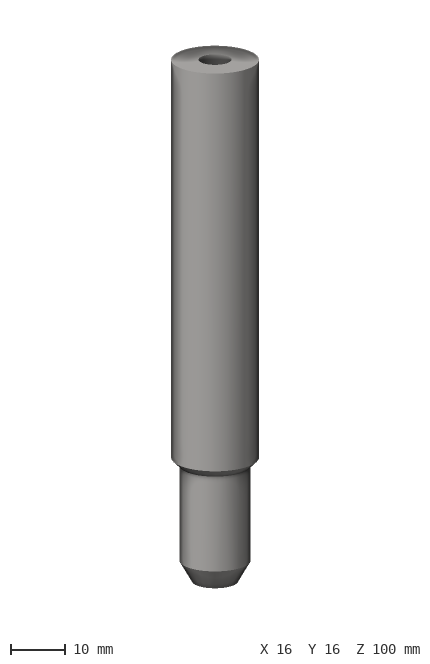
import cadquery as cq

total_length = 100.0
body_diameter = 16.0
pin_diameter = 13.0
tip_diameter = 8.4
bore_diameter = 6.0
pin_length = 22.2
nose_length = 4.0
shoulder_chamfer = 1.5

body_radius = body_diameter / 2
pin_radius = pin_diameter / 2
tip_radius = tip_diameter / 2

half_section = (
    cq.Workplane("XZ")
    .moveTo(0, 0)
    .lineTo(tip_radius, 0)
    .lineTo(pin_radius, nose_length)
    .lineTo(pin_radius, pin_length)
    .lineTo(body_radius, pin_length + shoulder_chamfer)
    .lineTo(body_radius, total_length)
    .lineTo(0, total_length)
    .close()
)
turned_pin = half_section.revolve(360, (0, 0, 0), (0, 1, 0))

bore = cq.Workplane("XY").circle(bore_diameter / 2).extrude(total_length)

result = turned_pin.cut(bore)